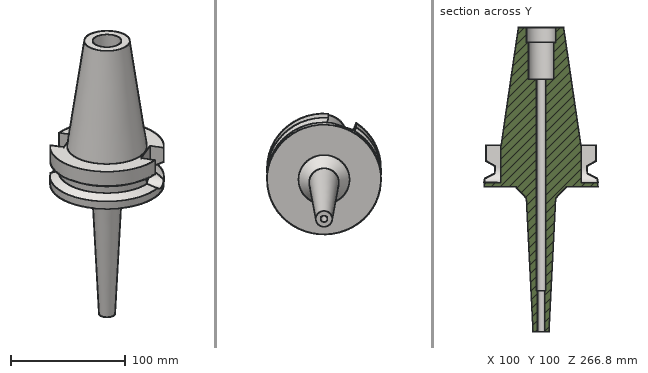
import cadquery as cq
import math

total_height = 266.8
flange_bottom = 127.0
flange_top = 163.5
gauge_level = 165.0
neck_level = 117.0

flange_radius = 50.02
groove_radius = 42.5
gauge_radius = 35.0
shank_top_radius = 20.0
neck_top_radius = 22.5
nose_top_radius = 13.0
nose_tip_radius = 7.2

lower_rim_height = 7.5
groove_floor_height = 6.5
groove_flank_height = (flange_radius - groove_radius) * math.tan(math.radians(30))
groove_bottom = flange_bottom + lower_rim_height
floor_bottom = groove_bottom + groove_flank_height
floor_top = floor_bottom + groove_floor_height
groove_top = floor_top + groove_flank_height

slot_width = 25.5
slot_floor_x = 35.5
slot_bottom = 131.0

pilot_radius = 12.5
pilot_depth = 13.0
thread_radius = 11.0
thread_depth = 45.4
channel_radius = 3.7
tool_bore_radius = 3.0
tool_bore_depth = 36.0


def revolved_body():
    """Nose, neck, grooved flange and tapered shank as one revolved profile."""
    profile = [
        (0, 0),
        (nose_tip_radius, 0),
        (nose_top_radius, neck_level),
        (neck_top_radius, flange_bottom),
        (flange_radius, flange_bottom),
        (flange_radius, groove_bottom),
        (groove_radius, floor_bottom),
        (groove_radius, floor_top),
        (flange_radius, groove_top),
        (flange_radius, flange_top),
        (gauge_radius, flange_top),
        (gauge_radius, gauge_level),
        (shank_top_radius, total_height),
        (0, total_height),
    ]
    return cq.Workplane("XZ").polyline(profile).close().revolve(360, (0, 0), (0, 1))


def drive_slot(side):
    """Round-bottomed cutter, open at the flange top; side is -1 or +1 along X."""
    half_width = slot_width / 2
    arc_level = slot_bottom + half_width
    return (
        cq.Workplane("YZ", origin=(side * slot_floor_x, 0, 0))
        .moveTo(-half_width, flange_top)
        .lineTo(-half_width, arc_level)
        .threePointArc((0, slot_bottom), (half_width, arc_level))
        .lineTo(half_width, flange_top)
        .close()
        .extrude(side * flange_radius)
    )


def bore_section(radius, bottom, top):
    """Cylinder on the part axis between two levels."""
    return cq.Workplane("XY", origin=(0, 0, bottom)).circle(radius).extrude(top - bottom)


result = revolved_body()
for side in (-1, 1):
    result = result.cut(drive_slot(side))

thread_bottom = total_height - thread_depth
pilot_bottom = total_height - pilot_depth
result = result.cut(bore_section(tool_bore_radius, 0, tool_bore_depth))
result = result.cut(bore_section(channel_radius, tool_bore_depth, thread_bottom))
result = result.cut(bore_section(thread_radius, thread_bottom, pilot_bottom))
result = result.cut(bore_section(pilot_radius, pilot_bottom, total_height))